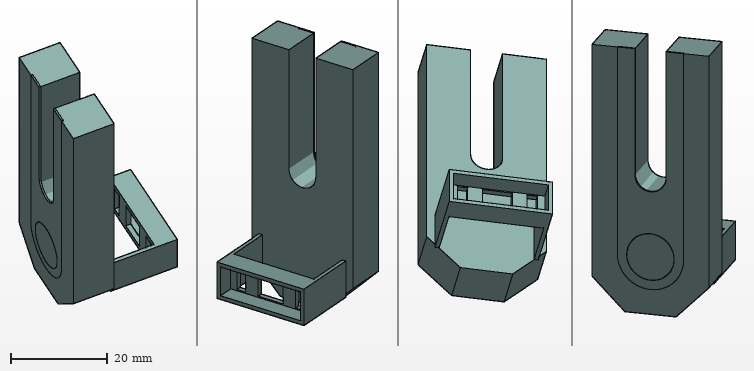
import cadquery as cq

BASE_WIDTH = 25.4
BASE_THICKNESS = 9.5
BASE_HEIGHT = 58.42
CORNER_CHAMFER = 7.14

SLOT_DIAMETER = 6.73
SLOT_CENTER_Z = 30.48

INLAY_WIDTH = 14.4
INLAY_THICKNESS = 0.4

BOSS_DIAMETER = 10.23
BOSS_HOLE_DIAMETER = 10.31
BOSS_CENTER_Z = 12.7

OVERALL_DEPTH = 25.02
LOOP_WIDTH = 21.9
LOOP_HEIGHT = 8.53
LOOP_BOTTOM_Z = 4.6
LOOP_WALL = 0.9
CROSSBAR_DEPTH = 4.98

PLATE_THICKNESS = 1.2
PLATE_RIM = 1.2
WINDOW_END_MARGIN = 1.6
POST_WIDTH = 3.15
MIDDLE_WINDOW_WIDTH = 6.3


def box(width, depth, height, y_start, z_start, x_center=0):
    """Block centred on x_center, starting at y_start and z_start."""
    return (
        cq.Workplane("XY")
        .box(width, depth, height, centered=(True, False, False))
        .translate((x_center, y_start, z_start))
    )


def cylinder_along_y(diameter, depth, y_start, z_center):
    """Cylinder on the plane of symmetry, running in +Y from y_start."""
    return (
        cq.Workplane("XZ", origin=(0, y_start, z_center))
        .circle(diameter / 2)
        .extrude(-depth)
    )


def open_slot(width, depth, z_center):
    """Slot with a round bottom end that runs out through the top of the base."""
    channel = box(width, depth, BASE_HEIGHT - z_center, 0, z_center)
    return channel.union(cylinder_along_y(width, depth, 0, z_center))


def make_loop():
    """Two side walls carrying a hollow crossbar."""
    side_length = OVERALL_DEPTH - BASE_THICKNESS - CROSSBAR_DEPTH
    inner_width = LOOP_WIDTH - 2 * LOOP_WALL
    loop = box(LOOP_WIDTH, OVERALL_DEPTH - BASE_THICKNESS, LOOP_HEIGHT, BASE_THICKNESS, LOOP_BOTTOM_Z)
    loop = loop.cut(box(inner_width, side_length, LOOP_HEIGHT, BASE_THICKNESS, LOOP_BOTTOM_Z))

    crossbar_y = BASE_THICKNESS + side_length
    cavity_height = LOOP_HEIGHT - 2 * LOOP_WALL
    cavity_y = crossbar_y + PLATE_THICKNESS
    cavity_depth = CROSSBAR_DEPTH - PLATE_THICKNESS
    loop = loop.cut(box(inner_width, cavity_depth, cavity_height, cavity_y, LOOP_BOTTOM_Z + LOOP_WALL))

    window_height = LOOP_HEIGHT - 2 * PLATE_RIM
    side_window_start = MIDDLE_WINDOW_WIDTH / 2 + POST_WIDTH
    side_window_end = inner_width / 2 - WINDOW_END_MARGIN
    side_window_width = side_window_end - side_window_start
    side_window_x = (side_window_start + side_window_end) / 2
    windows = (
        (-side_window_x, side_window_width),
        (0, MIDDLE_WINDOW_WIDTH),
        (side_window_x, side_window_width),
    )
    for x_center, width in windows:
        window = box(width, PLATE_THICKNESS, window_height, crossbar_y, LOOP_BOTTOM_Z + PLATE_RIM, x_center)
        loop = loop.cut(window)
    return loop


def make_base():
    """Slotted plate with the inlay recess, the boss and the loop."""
    plate = (
        box(BASE_WIDTH, BASE_THICKNESS, BASE_HEIGHT, 0, 0)
        .edges("|Y and <Z")
        .chamfer(CORNER_CHAMFER)
    )
    recess = open_slot(INLAY_WIDTH, INLAY_THICKNESS, BOSS_CENTER_Z)
    slot = open_slot(SLOT_DIAMETER, BASE_THICKNESS, SLOT_CENTER_Z)
    boss = cylinder_along_y(BOSS_DIAMETER, INLAY_THICKNESS, 0, BOSS_CENTER_Z)
    return plate.cut(recess).cut(slot).union(boss).union(make_loop())


def make_inlay():
    """Thin U-shaped plate that fills the recess around the boss and the slot."""
    slot = open_slot(SLOT_DIAMETER, INLAY_THICKNESS, SLOT_CENTER_Z)
    boss_hole = cylinder_along_y(BOSS_HOLE_DIAMETER, INLAY_THICKNESS, 0, BOSS_CENTER_Z)
    return open_slot(INLAY_WIDTH, INLAY_THICKNESS, BOSS_CENTER_Z).cut(slot).cut(boss_hole)


base = make_base()
inlay = make_inlay()

result = cq.Compound.makeCompound([base.val(), inlay.val()])